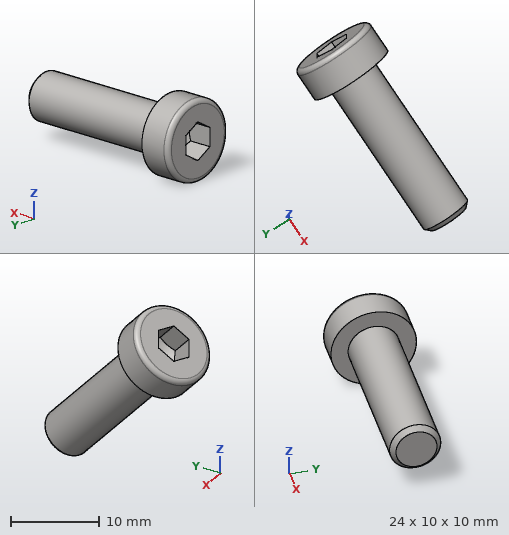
import cadquery as cq
import math

total_length = 24.0
head_diameter = 10.0
head_height = 4.0
head_edge_radius = 0.6
shank_diameter = 6.0
tip_chamfer = 0.6
socket_across_flats = 4.0
socket_depth = 3.0
socket_cone_angle = 120.0

socket_across_corners = socket_across_flats / math.cos(math.pi / 6)
cone_radius = socket_across_corners / 2
cone_height = cone_radius / math.tan(math.radians(socket_cone_angle / 2))


def make_head():
    head = cq.Workplane("YZ").circle(head_diameter / 2).extrude(head_height)
    return head.faces("<X").edges().fillet(head_edge_radius)


def make_shank():
    shank = cq.Workplane("YZ").circle(shank_diameter / 2).extrude(total_length)
    shank = shank.faces(">X").edges().chamfer(tip_chamfer)
    head_space = cq.Workplane("YZ").circle(head_diameter / 2).extrude(head_height)
    return shank.cut(head_space)


def make_socket():
    hexagon = (
        cq.Workplane("YZ")
        .transformed(rotate=(0, 0, 90))
        .polygon(6, socket_across_corners)
        .extrude(socket_depth + cone_height)
    )
    pointed_envelope = (
        cq.Workplane("XY")
        .moveTo(0, 0)
        .lineTo(0, cone_radius)
        .lineTo(socket_depth, cone_radius)
        .lineTo(socket_depth + cone_height, 0)
        .close()
        .revolve(360, (0, 0, 0), (1, 0, 0))
    )
    return hexagon.intersect(pointed_envelope)


result = make_head().union(make_shank()).cut(make_socket())